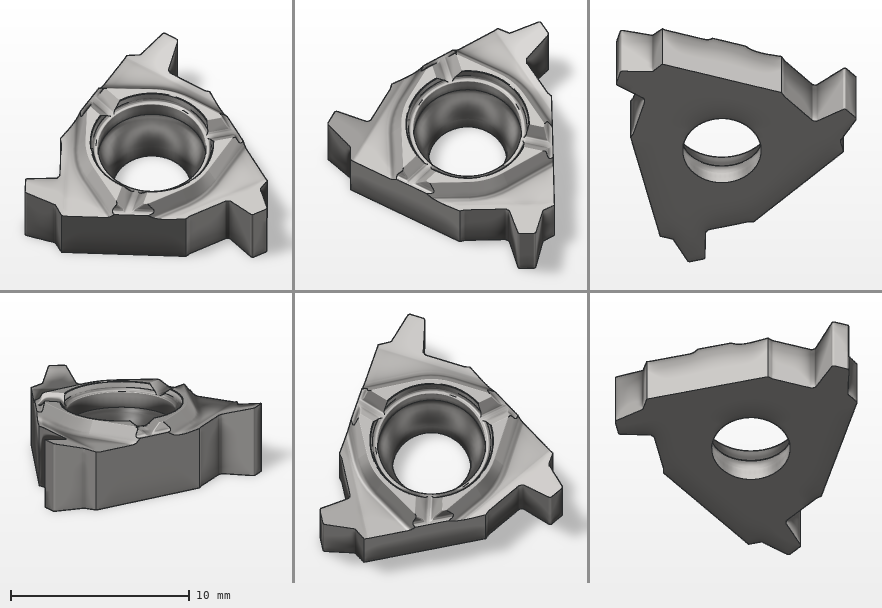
import cadquery as cq
import math


edge_count = 3
inscribed_radius = 9.525 / 2
side_normal_angle = 60
height = 4.2
floor_z = 3.4
ledge_z = 3.7

tooth_tip_y = 6.985
tooth_center_x = -3.165
tooth_tip_width = 0.96
tooth_flank_angle = 15
tip_radius = 0.15
shoulder_y = 5.1
root_radius = 0.1
inner_root_rise = 0.12
inner_root_run = 0.19
outer_corner_y = 4.88
outer_land_angle = 30
land_end_length = 0.3
land_end_corner_x = 0.564
land_end_radius = 0.3
ramp_angle = 15
ramp_start_y = 4.7
ramp_blend_radius = 0.5

boss_top_offset = 3.72
boss_draft = 38
boss_foot_radius = 0.42
boss_arc_start = 90
boss_arc_sweep = 31
top_edge_radius = 0.04

throat_radius = 4.4 / 2
throat_z = 0.92
seat_radius = 2.29
seat_top_z = 2.52
bore_radius = 3.03
bore_bottom_z = 2.8
rim_round = 0.04
rim_wall_foot_radius = 3.33
rim_wall_top_radius = 3.44
rim_foot_height = 0.18
rim_flat_radius = 3.15

slot_angle = 45
slot_offset = 0.08
slot_top_width = 1.5
slot_floor_width = 0.32
slot_root_radius = 0.25
slot_end_radius = 0.1
slot_start = 2.6
slot_end = 5.2
ledge_width = 0.08
ledge_root_radius = 0.25
ledge_wall_draft = 20
ledge_length = 4.0
ledge_center_y = 1.0

reach = 9.0
tool_height = 1.0


def every_edge(solid):
    """The solid copied around the axis to all three edges, as one shape."""
    copies = solid
    for i in range(1, edge_count):
        copies = copies.union(solid.rotate((0, 0, 0), (0, 0, 1), 360 / edge_count * i))
    return copies


def turned(point, angle):
    """The point turned about the Z axis by an angle in degrees."""
    a = math.radians(angle)
    x, y = point
    return (x * math.cos(a) - y * math.sin(a), x * math.sin(a) + y * math.cos(a))


def edge_corners():
    """Corners of one edge, from its inner end across the tooth, with their rounding."""
    slope = math.tan(math.radians(tooth_flank_angle))
    half_tip = tooth_tip_width / 2
    inner_root_y = shoulder_y + inner_root_rise
    inner_root_x = tooth_center_x + half_tip + slope * (tooth_tip_y - inner_root_y)

    side_angle = math.radians(side_normal_angle)
    inner_corner_y = inscribed_radius - land_end_corner_x * math.cos(side_angle)
    inner_corner_y /= math.sin(side_angle)

    land_slope = math.tan(math.radians(outer_land_angle))
    flank_at_tip_x = tooth_center_x - half_tip
    land_axis_y = outer_corner_y + land_slope * inscribed_radius
    outer_root_x = flank_at_tip_x + slope * (land_axis_y - tooth_tip_y)
    outer_root_x /= 1 - slope * land_slope
    outer_root_y = land_axis_y + land_slope * outer_root_x

    return [
        ((land_end_corner_x, inner_corner_y), 0),
        ((land_end_corner_x - land_end_length, shoulder_y), land_end_radius),
        ((inner_root_x + inner_root_run, shoulder_y), root_radius),
        ((inner_root_x, inner_root_y), root_radius),
        ((tooth_center_x + half_tip, tooth_tip_y), tip_radius),
        ((tooth_center_x - half_tip, tooth_tip_y), tip_radius),
        ((outer_root_x, outer_root_y), root_radius),
        ((-inscribed_radius, outer_corner_y), 0),
    ]


def make_outline():
    """Straight-walled block with the full outline of the part."""
    corners = []
    for i in range(edge_count):
        for point, radius in edge_corners():
            corners.append((turned(point, 360 / edge_count * i), radius))
    block = cq.Workplane("XY").polyline([point for point, _ in corners]).close().extrude(height)
    for (x, y), radius in corners:
        if radius > 0:
            corner_edge = cq.selectors.NearestToPointSelector((x, y, height / 2))
            block = block.edges("|Z").edges(corner_edge).fillet(radius)
    return block


def make_ramp():
    """Raked top of edge 1, blended into the floor by a concave curve."""
    a = math.radians(ramp_angle)
    tangent = ramp_blend_radius * math.tan(a / 2)
    blend_end = (ramp_start_y + tangent * math.cos(a), floor_z + tangent * math.sin(a))
    blend_middle = (
        ramp_start_y - tangent + ramp_blend_radius * math.sin(a / 2),
        floor_z + ramp_blend_radius * (1 - math.cos(a / 2)),
    )
    ramp = cq.Workplane("YZ").moveTo(ramp_start_y - tangent, 0)
    ramp = ramp.lineTo(ramp_start_y - tangent, floor_z)
    ramp = ramp.threePointArc(blend_middle, blend_end)
    ramp = ramp.lineTo(reach, floor_z + (reach - ramp_start_y) * math.tan(a))
    ramp = ramp.lineTo(reach, 0).close()
    return ramp.extrude(reach, both=True)


def make_boss_on_floor():
    """Floor disc carrying the drafted boss: three arcs joined by straight sides."""
    foot_offset = boss_top_offset + (height - floor_z) * math.tan(math.radians(boss_draft))
    arc_end = boss_arc_start + boss_arc_sweep
    step = 360 / edge_count
    half_gap = (step - boss_arc_sweep) / 2
    corner_radius = foot_offset / math.cos(math.radians(half_gap))

    profile = cq.Workplane("XY", origin=(0, 0, floor_z))
    profile = profile.moveTo(*turned((foot_offset, 0), boss_arc_start))
    for i in range(edge_count):
        turn = step * i
        middle = turned((foot_offset, 0), boss_arc_start + boss_arc_sweep / 2 + turn)
        end = turned((foot_offset, 0), arc_end + turn)
        corner = turned((corner_radius, 0), arc_end + half_gap + turn)
        next_start = turned((foot_offset, 0), boss_arc_start + step + turn)
        profile = profile.threePointArc(middle, end).lineTo(*corner).lineTo(*next_start)
    boss = profile.close().extrude(height - floor_z, taper=boss_draft)

    floor = cq.Workplane("XY").circle(reach).extrude(floor_z)
    foot_reach = reach - 1
    foot_margin = 0.01
    foot = cq.selectors.BoxSelector(
        (-foot_reach, -foot_reach, floor_z - foot_margin),
        (foot_reach, foot_reach, floor_z + foot_margin),
        boundingbox=True,
    )
    return floor.union(boss).edges(foot).fillet(boss_foot_radius)


def make_hole():
    """Screw hole turned about Z: throat, curved seat, bore, rim and sloping rim wall."""
    seat_rise = seat_top_z - throat_z
    seat_angle = math.asin(seat_rise / seat_radius)

    def seat_point(angle):
        return (
            throat_radius + seat_radius * (1 - math.cos(angle)),
            throat_z + seat_radius * math.sin(angle),
        )

    rim_middle = rim_round * (1 - math.sqrt(0.5))
    profile = cq.Workplane("XZ").lineTo(throat_radius, 0).lineTo(throat_radius, throat_z)
    profile = profile.threePointArc(seat_point(seat_angle / 2), seat_point(seat_angle))
    profile = profile.tangentArcPoint((bore_radius, bore_bottom_z), relative=False)
    profile = profile.lineTo(bore_radius, ledge_z - rim_round)
    profile = profile.threePointArc(
        (bore_radius + rim_middle, ledge_z - rim_middle), (bore_radius + rim_round, ledge_z)
    )
    profile = profile.lineTo(rim_flat_radius, ledge_z)
    profile = profile.tangentArcPoint((rim_wall_foot_radius, ledge_z + rim_foot_height), relative=False)
    profile = profile.lineTo(rim_wall_top_radius, height)
    return profile.lineTo(0, height).close().revolve(360, (0, 0, 0), (0, 1, 0))


def make_slot():
    """V-shaped chip slot across the boss, running outward from the bore."""
    depth = height - ledge_z
    half_top = slot_top_width / 2
    half_floor = slot_floor_width / 2
    spread = (half_top - half_floor) / depth * tool_height
    slot = cq.Workplane("YZ", origin=(slot_start, slot_offset, ledge_z))
    slot = slot.moveTo(-half_floor, 0).lineTo(half_floor, 0)
    slot = slot.lineTo(half_floor + spread, tool_height).lineTo(-half_floor - spread, tool_height).close()
    slot = slot.extrude(slot_end - slot_start).edges("|X and <Z").fillet(slot_root_radius)
    return slot.rotate((0, 0, 0), (0, 0, 1), slot_angle)


def ledge_wall_x(z):
    """X of the drafted inner wall of the -X side ledge at the given height."""
    root_tangent = ledge_root_radius * math.tan(math.radians(90 - ledge_wall_draft) / 2)
    wall_foot_x = ledge_width + root_tangent - inscribed_radius
    return wall_foot_x + (z - ledge_z) * math.tan(math.radians(ledge_wall_draft))


def make_side_ledge():
    """Cutter for the ledge along the -X side, with a rounded root and a drafted inner wall."""
    wall_foot_x = ledge_wall_x(ledge_z)
    top_z = ledge_z + tool_height
    wall_top_x = ledge_wall_x(top_z)
    ledge = cq.Workplane("XZ").moveTo(-reach, ledge_z).lineTo(wall_foot_x, ledge_z)
    ledge = ledge.lineTo(wall_top_x, top_z).lineTo(-reach, top_z).close()
    ledge = ledge.extrude(ledge_length / 2, both=True)
    root = cq.selectors.NearestToPointSelector((wall_foot_x, 0, ledge_z))
    ledge = ledge.edges("|Y").edges(root).fillet(ledge_root_radius)
    return ledge.translate((0, ledge_center_y, 0))


def round_slot_ends(body):
    """Round the two sloping edges where each slot runs out through the ledge wall."""
    side_angle = math.radians(side_normal_angle - slot_angle)
    middle_z = (height + ledge_z) / 2
    wall_distance = -ledge_wall_x(middle_z)
    half_width = (slot_top_width + slot_floor_width) / 4
    for i in range(edge_count):
        turn = slot_angle + 360 / edge_count * i
        for flank_y in [slot_offset + half_width, slot_offset - half_width]:
            flank_x = (wall_distance - flank_y * math.sin(side_angle)) / math.cos(side_angle)
            x, y = turned((flank_x, flank_y), turn)
            slot_edge = cq.selectors.NearestToPointSelector((x, y, middle_z))
            body = body.edges(slot_edge).fillet(slot_end_radius)
    return body


upper_shape = make_boss_on_floor().union(every_edge(make_ramp()))
cutters = [make_hole(), every_edge(make_slot()), every_edge(make_side_ledge())]
insert = make_outline().intersect(upper_shape)
for cutter in cutters:
    insert = insert.cut(cutter)
insert = round_slot_ends(insert)
result = insert.faces(">Z").edges().fillet(top_edge_radius)